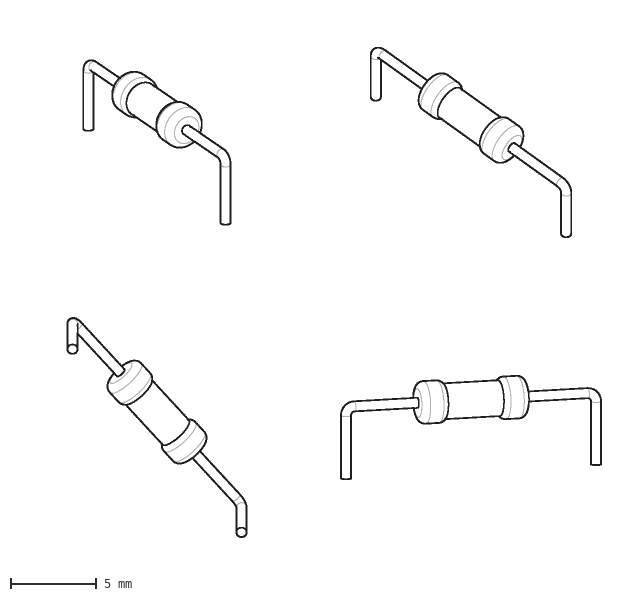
import cadquery as cq

overall_length = 15.84
overall_height = 5.5

cap_diameter = 2.5
cap_length = 1.63
cap_rounding = 0.41

body_length = 6.53
barrel_diameter = 2.1

lead_diameter = 0.6
bend_radius = 0.5

lead_x = (overall_length - lead_diameter) / 2
foot_z = cap_diameter / 2 - overall_height


def cylinder_along_x(diameter, length):
    """Cylinder on the X axis, centered on the origin."""
    start_plane = cq.Workplane("YZ", origin=(-length / 2, 0, 0))
    return start_plane.circle(diameter / 2).extrude(length)


def make_end_cap(side):
    """Rounded cap at the -X (side = -1) or +X (side = 1) end of the body."""
    cap_center = side * (body_length - cap_length) / 2
    cap = cylinder_along_x(cap_diameter, cap_length).edges().fillet(cap_rounding)
    return cap.translate((cap_center, 0, 0))


def make_leads():
    """One wire through the body, bent down at both ends."""
    bend_x = lead_x - bend_radius
    centerline = (
        cq.Workplane("XZ")
        .moveTo(-lead_x, foot_z)
        .lineTo(-lead_x, -bend_radius)
        .radiusArc((-bend_x, 0), bend_radius)
        .lineTo(bend_x, 0)
        .radiusArc((lead_x, -bend_radius), bend_radius)
        .lineTo(lead_x, foot_z)
    )
    foot_plane = cq.Workplane("XY", origin=(-lead_x, 0, foot_z))
    return foot_plane.circle(lead_diameter / 2).sweep(centerline)


result = cylinder_along_x(barrel_diameter, body_length - cap_length)
for side in (-1, 1):
    result = result.union(make_end_cap(side))
result = result.union(make_leads())